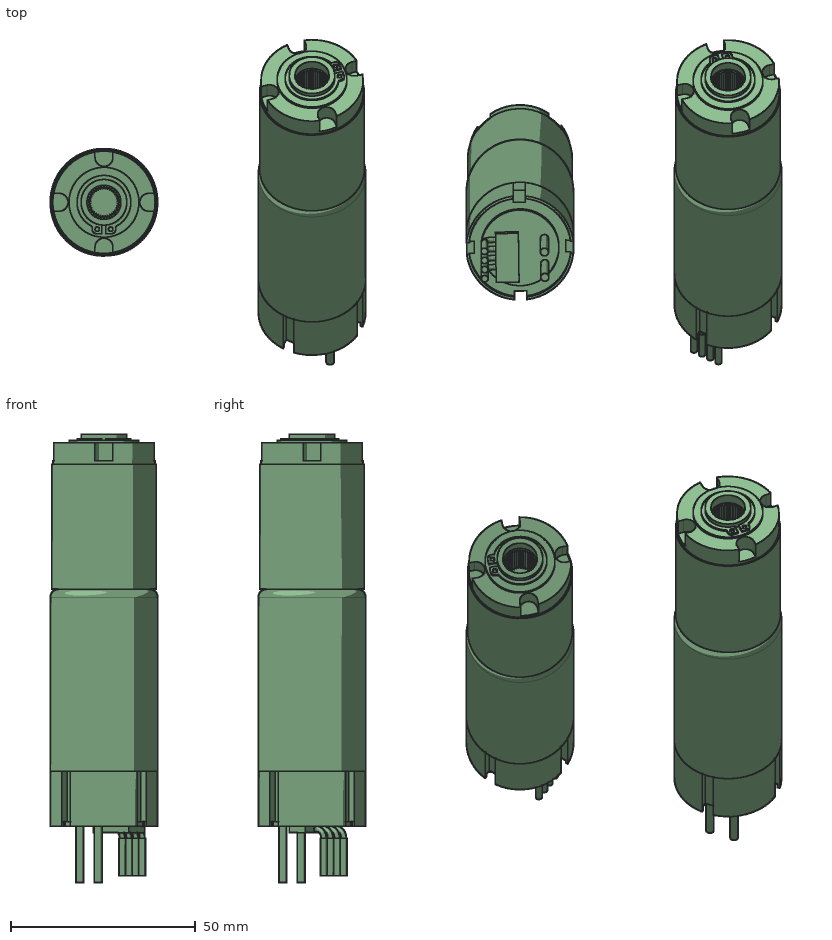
import cadquery as cq
import math


lead_bottom_z = 0.0
wire_bottom_z = 1.8
sleeve_top_z = 12.0
connector_bottom_z = 13.5
cap_bottom_z = 15.2
motor_bottom_z = 30.1
motor_top_z = 79.3
flange_bottom_z = 113.1
notch_floor_z = 114.1
flange_top_z = 119.0
boss_top_z = 119.5
ring_top_z = 120.0
hub_top_z = 121.2

motor_radius = 14.5
motor_top_fillet = 2.2
lead_radius = 1.1
lead_radial = -6.7
lead_tangents = (-2.5, 4.5)

cap_groove_depth = 1.3
cap_groove_outer_radius = 13.8
cap_groove_inner_radius = 10.5
cap_slot_width = 3.3
cap_slot_floor_radius = 12.4
cap_slot_count = 4

gearbox_radius = 14.2
flange_radius = 13.8
notch_radius = 2.4
notch_center_radius = 12.1
notch_count = 4
boss_radius = 9.5

hub_radius = 6.2
hub_length = 14.5
bore_radius = 4.6
bore_depth = 3.0
spline_root_radius = 4.4
spline_tip_radius = 3.6
spline_depth = 9.7
spline_tooth_count = 36

ring_radius = 7.3
ear_half_width = 3.2
ear_corner_radius = 1.1
ear_reach = 8.5
ring_gap = 1.1
ear_hole_radius = 0.6
ear_hole_x = 1.8
ear_hole_y = -7.3

connector_inner_radial = 0.4
connector_outer_radial = 6.5
connector_tangent_min = -4.5
connector_tangent_max = 9.1
wire_radial = 9.6
wire_radius = 0.91
core_radius = 0.7
core_bend_radius = 2.4
wire_pitch = 2.5
wire_count = 4
first_wire_tangent = -2.5

diagonal = 45.0
hub_bottom_z = hub_top_z - hub_length


def cylinder(radius, bottom_z, top_z, x=0.0, y=0.0):
    """Upright cylinder centred on (x, y) between two levels."""
    return cq.Workplane("XY", origin=(x, y, bottom_z)).circle(radius).extrude(top_z - bottom_z)


def turn_to_diagonal(body):
    """Turn a body laid out as (radial, -tangent) into the part axes."""
    return body.rotate((0, 0, 0), (0, 0, 1), diagonal)


def supply_lead(tangent):
    """One lead running from the rear face of the motor down through the cap."""
    return turn_to_diagonal(cylinder(lead_radius, lead_bottom_z, motor_bottom_z, lead_radial, -tangent))


def make_motor():
    motor = cylinder(motor_radius, motor_bottom_z, motor_top_z)
    motor = motor.faces(">Z").edges().fillet(motor_top_fillet)
    for tangent in lead_tangents:
        motor = motor.union(supply_lead(tangent))
    return motor


def make_rear_cap():
    cap = cylinder(motor_radius, cap_bottom_z, motor_bottom_z)
    groove_top_z = cap_bottom_z + cap_groove_depth
    groove = cylinder(cap_groove_outer_radius, cap_bottom_z, groove_top_z)
    cap = cap.cut(groove.cut(cylinder(cap_groove_inner_radius, cap_bottom_z, groove_top_z)))
    slot_depth = motor_radius - cap_slot_floor_radius
    slot = cq.Workplane("XY").box(
        2 * slot_depth, cap_slot_width, motor_bottom_z - cap_bottom_z, centered=(False, True, False)
    )
    slot = slot.translate((cap_slot_floor_radius, 0, cap_bottom_z))
    for index in range(cap_slot_count):
        angle = diagonal + index * 360.0 / cap_slot_count
        cap = cap.cut(slot.rotate((0, 0, 0), (0, 0, 1), angle))
    for tangent in lead_tangents:
        cap = cap.cut(supply_lead(tangent))
    return cap


def make_gearbox():
    gearbox = cylinder(gearbox_radius, motor_top_z, flange_bottom_z)
    gearbox = gearbox.union(cylinder(flange_radius, flange_bottom_z, flange_top_z))
    notch_height = flange_top_z - notch_floor_z
    notch = cylinder(notch_radius, notch_floor_z, flange_top_z, notch_center_radius)
    notch_mouth = cq.Workplane("XY").box(
        flange_radius, 2 * notch_radius, notch_height, centered=(False, True, False)
    )
    notch = notch.union(notch_mouth.translate((notch_center_radius, 0, notch_floor_z)))
    for index in range(notch_count):
        gearbox = gearbox.cut(notch.rotate((0, 0, 0), (0, 0, 1), index * 360.0 / notch_count))
    gearbox = gearbox.union(cylinder(boss_radius, flange_top_z, boss_top_z))
    return gearbox.cut(cylinder(hub_radius, hub_bottom_z, boss_top_z))


def spline_outline():
    """Zigzag of straight tooth flanks between the root and tip circles."""
    points = []
    for index in range(2 * spline_tooth_count):
        radius = spline_root_radius if index % 2 == 0 else spline_tip_radius
        angle = index * math.pi / spline_tooth_count
        points.append((radius * math.cos(angle), radius * math.sin(angle)))
    return points


def make_output_hub():
    hub = cylinder(hub_radius, hub_bottom_z, hub_top_z)
    spline_top_z = hub_top_z - bore_depth
    hub = hub.cut(cylinder(bore_radius, spline_top_z, hub_top_z))
    spline = cq.Workplane("XY", origin=(0, 0, spline_top_z)).polyline(spline_outline()).close()
    return hub.cut(spline.extrude(-spline_depth))


def make_retaining_ring():
    thickness = ring_top_z - boss_top_z
    ring = cylinder(ring_radius, boss_top_z, ring_top_z)
    ears = cq.Workplane("XY").box(2 * ear_half_width, ear_reach, thickness, centered=(True, False, False))
    ears = ears.edges("|Z and <Y").fillet(ear_corner_radius)
    ring = ring.union(ears.translate((0, -ear_reach, boss_top_z)))
    ring = ring.cut(cylinder(hub_radius, boss_top_z, ring_top_z))
    gap = cq.Workplane("XY").box(ring_gap, ear_reach, thickness, centered=(True, False, False))
    ring = ring.cut(gap.translate((0, -ear_reach, boss_top_z)))
    for side in (-1, 1):
        ring = ring.cut(cylinder(ear_hole_radius, boss_top_z, ring_top_z, side * ear_hole_x, ear_hole_y))
    return ring


def cable_wire(tangent):
    """Bare core bending out of the connector and down into a straight insulated wire."""
    bend_start_radial = wire_radial - core_bend_radius
    core_z = sleeve_top_z + core_bend_radius
    core = (
        cq.Workplane("YZ", origin=(connector_outer_radial, -tangent, core_z))
        .circle(core_radius)
        .extrude(bend_start_radial - connector_outer_radial)
    )
    bend = (
        cq.Workplane("YZ", origin=(bend_start_radial, -tangent, core_z))
        .circle(core_radius)
        .revolve(90, (0, -core_bend_radius, 0), (1, -core_bend_radius, 0))
    )
    core = core.union(bend)
    return core.union(cylinder(wire_radius, wire_bottom_z, sleeve_top_z, wire_radial, -tangent))


def make_connector():
    connector = cq.Workplane("XY").box(
        connector_outer_radial - connector_inner_radial,
        connector_tangent_max - connector_tangent_min,
        cap_bottom_z - connector_bottom_z,
        centered=False,
    )
    connector = connector.translate((connector_inner_radial, -connector_tangent_max, connector_bottom_z))
    for index in range(wire_count):
        connector = connector.union(cable_wire(first_wire_tangent + index * wire_pitch))
    return turn_to_diagonal(connector)


motor = make_motor()
rear_cap = make_rear_cap()
gearbox = make_gearbox()
output_hub = make_output_hub()
retaining_ring = make_retaining_ring()
connector = make_connector()

result = cq.Compound.makeCompound([
    motor.solids().val(),
    rear_cap.solids().val(),
    gearbox.solids().val(),
    output_hub.solids().val(),
    retaining_ring.solids().val(),
    connector.solids().val(),
])